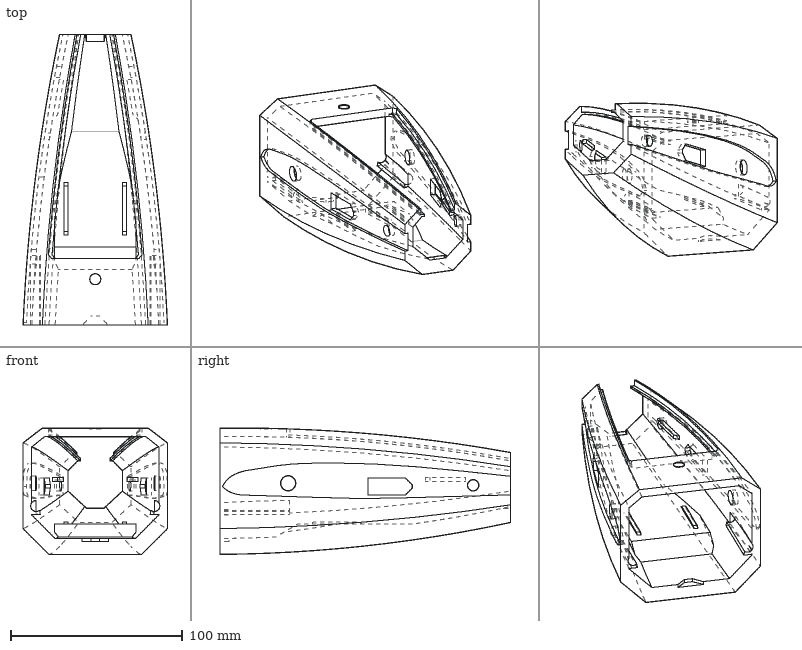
import cadquery as cq

LENGTH = 170.0
FRONT_WIDTH = 84.5
FRONT_HEIGHT = 74.0

SIDE_HALF = (FRONT_WIDTH / 2, 35.2, 20.9)
ROOF_HALF = (31.0, 24.3, 11.7)
FLOOR_HALF = (27.0, 20.5, 9.7)
ROOF_Z = (FRONT_HEIGHT, 70.9, 59.7)
SHOULDER_Z = (65.3, 61.5, 51.3)
BELLY_Z = (15.1, 19.0, 29.0)
FLOOR_Z = (0.0, 5.0, 18.7)

SIDE_WALL = 5.1
ROOF_WALL = 5.0
FLOOR_WALL = 9.4
ROOF_HALF_INSET = 1.5
FLOOR_HALF_INSET = 3.5
SHOULDER_DROP = 2.4
BELLY_RISE = 8.0

SLOT_START_Y = 39.1
SLOT_EDGE_INSET = 1.0
LEDGE_WIDTH = 2.2
LEDGE_DROP = 3.5
SLOT_CORNER = 2.0
SLOT_BOTTOM_Z = 40.8

PLATFORM_HALF = 23.8
PLATFORM_Z = 17.8
RAMP_BASE_Y = 32.3
RAMP_BASE_Z = 10.0
RAMP_TOP_Y = 45.5
PLATFORM_END_Y = 127.5

RAIL_X = 17.2
RAIL_WIDTH = 2.4
RAIL_HEIGHT = 1.0
RAIL_START_Y = 52.7
RAIL_END_Y = 83.3
RAIL_SLOPE = 2.0

TIP_HOLE_D, TIP_HOLE_Y, TIP_HOLE_Z = 6.5, 148.0, 40.5
FRONT_HOLE_D, FRONT_HOLE_Y, FRONT_HOLE_Z = 8.7, 40.0, 41.6
WINDOW_START_Y = 86.7
WINDOW_POINT_Y = 112.4
WINDOW_Z = 39.8
WINDOW_HEIGHT = 9.9
WINDOW_CHAMFER = 3.9

LEAF_DEPTH = 2.0
LEAF_NOSE = (1.5, 39.8)
LEAF_TIP_TOP_Z = 45.7
LEAF_TIP_BOTTOM_Z = 34.8
LEAF_UPPER = [(6.5, 45.5), (20.4, 50.0), (42.5, 52.9), (64.6, 53.5), (105.4, 52.0)]
LEAF_LOWER = [(5.0, 37.0), (20.4, 34.5), (68.0, 33.0), (127.5, 33.7)]

ROD_D = 6.5
ROD_X = 34.5
ROD_Z = 28.4
ROD_LENGTH = 40.8
LIP_TOP_X = 32.6
LIP_BOTTOM_X = 32.1
LIP_OUTER_X = 38.2
LIP_BOTTOM_Z = 23.5
LIP_TOP_Z = 26.2

RIB_START_Y = 120.4
RIB_END_Y = 143.6
RIB_BOTTOM_Z = 42.7
RIB_HEIGHT = 2.2
RIB_REACH = 2.5

ROOF_DIMPLE_D, ROOF_DIMPLE_Y, ROOF_DIMPLE_DEPTH = 6.5, 26.9, 0.5
MOUTH_NOTCH_HALF, MOUTH_NOTCH_LENGTH, MOUTH_NOTCH_DEPTH = 7.6, 5.3, 1.9
TIP_NOTCH_TOP_HALF, TIP_NOTCH_BOTTOM_HALF = 6.0, 5.1
TIP_NOTCH_LENGTH, TIP_NOTCH_DEPTH = 4.2, 1.0

OVERCUT = 1.7


def at(values, y):
    """Quadratic through the front, middle and tip values, evaluated at y."""
    front, middle, tip = values
    t = y / LENGTH
    return front * (1 - t) * (1 - 2 * t) + middle * 4 * t * (1 - t) + tip * t * (2 * t - 1)


def loft_along_y(outline, start_y, end_y):
    """Smooth loft through outline(y) at the start, middle and end of a stretch of Y."""
    wires = []
    for y in (start_y, (start_y + end_y) / 2, end_y):
        corners = [cq.Vector(x, y, z) for x, z in outline(y)]
        wires.append(cq.Wire.makePolygon(corners, close=True))
    return cq.Workplane(cq.Solid.makeLoft(wires))


def mirrored(half):
    """Close an outline given by its +X corners, listed bottom to top."""
    return half + [(-x, z) for x, z in reversed(half)]


def outer_outline(y, side_inset=0.0):
    return mirrored([
        (at(FLOOR_HALF, y), at(FLOOR_Z, y)),
        (at(SIDE_HALF, y) - side_inset, at(BELLY_Z, y)),
        (at(SIDE_HALF, y) - side_inset, at(SHOULDER_Z, y)),
        (at(ROOF_HALF, y), at(ROOF_Z, y)),
    ])


def cavity_outline(y):
    return mirrored([
        (at(FLOOR_HALF, y) - FLOOR_HALF_INSET, at(FLOOR_Z, y) + FLOOR_WALL),
        (at(SIDE_HALF, y) - SIDE_WALL, at(BELLY_Z, y) + BELLY_RISE),
        (at(SIDE_HALF, y) - SIDE_WALL, at(SHOULDER_Z, y) - SHOULDER_DROP),
        (at(ROOF_HALF, y) - ROOF_HALF_INSET, at(ROOF_Z, y) - ROOF_WALL),
    ])


def both_sides(feature):
    return feature.union(feature.mirror("YZ"))


def roof_slot():
    def ledge_outline(y):
        half = at(ROOF_HALF, y) - SLOT_EDGE_INSET
        roof = at(ROOF_Z, y)
        return mirrored([(half, roof - LEDGE_DROP), (half, roof + OVERCUT)])

    def opening_outline(y):
        half = at(ROOF_HALF, y) - SLOT_EDGE_INSET - LEDGE_WIDTH
        return mirrored([(half, SLOT_BOTTOM_Z), (half, at(ROOF_Z, y) + OVERCUT)])

    slot = None
    for outline in (ledge_outline, opening_outline):
        cut = loft_along_y(outline, SLOT_START_Y, LENGTH)
        cut = cut.faces("<Y").edges("<X or >X").chamfer(SLOT_CORNER)
        slot = cut if slot is None else slot.union(cut)
    return slot


def platform():
    return (
        cq.Workplane("YZ", origin=(-PLATFORM_HALF, 0, 0))
        .moveTo(RAMP_BASE_Y, RAMP_BASE_Z - OVERCUT)
        .lineTo(RAMP_BASE_Y, RAMP_BASE_Z)
        .lineTo(RAMP_TOP_Y, PLATFORM_Z)
        .lineTo(PLATFORM_END_Y, PLATFORM_Z)
        .lineTo(PLATFORM_END_Y, RAMP_BASE_Z - OVERCUT)
        .close()
        .extrude(2 * PLATFORM_HALF)
    )


def rails():
    top_z = PLATFORM_Z + RAIL_HEIGHT
    rail = (
        cq.Workplane("YZ", origin=(RAIL_X - RAIL_WIDTH / 2, 0, 0))
        .moveTo(RAIL_START_Y, PLATFORM_Z - OVERCUT)
        .lineTo(RAIL_START_Y, PLATFORM_Z)
        .lineTo(RAIL_START_Y + RAIL_SLOPE, top_z)
        .lineTo(RAIL_END_Y - RAIL_SLOPE, top_z)
        .lineTo(RAIL_END_Y, PLATFORM_Z)
        .lineTo(RAIL_END_Y, PLATFORM_Z - OVERCUT)
        .close()
        .extrude(RAIL_WIDTH)
    )
    return both_sides(rail)


def cross_hole(diameter, y, z):
    hole = cq.Workplane("YZ").center(y, z).circle(diameter / 2)
    return hole.extrude(FRONT_WIDTH / 2, both=True)


def side_openings():
    half_height = WINDOW_HEIGHT / 2
    point_half = half_height - WINDOW_CHAMFER
    shoulder_y = WINDOW_POINT_Y - WINDOW_CHAMFER
    window = cq.Workplane("YZ").polyline([
        (WINDOW_START_Y, WINDOW_Z - half_height),
        (shoulder_y, WINDOW_Z - half_height),
        (WINDOW_POINT_Y, WINDOW_Z - point_half),
        (WINDOW_POINT_Y, WINDOW_Z + point_half),
        (shoulder_y, WINDOW_Z + half_height),
        (WINDOW_START_Y, WINDOW_Z + half_height),
    ]).close().extrude(FRONT_WIDTH / 2, both=True)
    tip_hole = cross_hole(TIP_HOLE_D, TIP_HOLE_Y, TIP_HOLE_Z)
    front_hole = cross_hole(FRONT_HOLE_D, FRONT_HOLE_Y, FRONT_HOLE_Z)
    return window.union(tip_hole).union(front_hole)


def leaf_recesses():
    leaf = (
        cq.Workplane("YZ")
        .moveTo(*LEAF_NOSE)
        .spline(LEAF_UPPER + [(LENGTH, LEAF_TIP_TOP_Z)], includeCurrent=True)
        .lineTo(LENGTH, LEAF_TIP_BOTTOM_Z)
        .spline(LEAF_LOWER[::-1] + [LEAF_NOSE], includeCurrent=True)
        .close()
        .extrude(FRONT_WIDTH / 2, both=True)
    )
    core = loft_along_y(lambda y: outer_outline(y, LEAF_DEPTH), 0, LENGTH)
    return leaf.cut(core)


def rod_lips():
    lip = cq.Workplane("XZ").polyline([
        (LIP_BOTTOM_X, LIP_BOTTOM_Z),
        (LIP_OUTER_X, LIP_BOTTOM_Z),
        (LIP_OUTER_X, LIP_TOP_Z),
        (LIP_TOP_X, LIP_TOP_Z),
    ]).close().extrude(-ROD_LENGTH)
    return both_sides(lip)


def rod_grooves():
    groove = cq.Workplane("XZ").center(ROD_X, ROD_Z).circle(ROD_D / 2).extrude(-ROD_LENGTH)
    return both_sides(groove)


def side_ribs():
    def inner_x(y):
        return at(SIDE_HALF, y) - SIDE_WALL

    slope_end_y = RIB_START_Y + RIB_REACH
    rib = cq.Workplane("XY", origin=(0, 0, RIB_BOTTOM_Z)).polyline([
        (inner_x(RIB_START_Y) + OVERCUT, RIB_START_Y),
        (inner_x(RIB_START_Y), RIB_START_Y),
        (inner_x(slope_end_y) - RIB_REACH, slope_end_y),
        (inner_x(RIB_END_Y) - RIB_REACH, RIB_END_Y),
        (inner_x(RIB_END_Y) + OVERCUT, RIB_END_Y),
    ]).close().extrude(RIB_HEIGHT)
    return both_sides(rib)


def roof_dimple():
    depth_z = at(ROOF_Z, ROOF_DIMPLE_Y) - ROOF_DIMPLE_DEPTH
    plane = cq.Workplane("XY", origin=(0, ROOF_DIMPLE_Y, depth_z))
    return plane.circle(ROOF_DIMPLE_D / 2).extrude(OVERCUT)


def mouth_notch():
    """Floor recess at the mouth, narrowing at 45 degrees towards the inside."""
    back_half = MOUTH_NOTCH_HALF - MOUTH_NOTCH_LENGTH
    floor_z = at(FLOOR_Z, 0) + FLOOR_WALL
    return cq.Workplane("XY", origin=(0, 0, floor_z - MOUTH_NOTCH_DEPTH)).polyline([
        (-MOUTH_NOTCH_HALF, 0),
        (MOUTH_NOTCH_HALF, 0),
        (back_half, MOUTH_NOTCH_LENGTH),
        (-back_half, MOUTH_NOTCH_LENGTH),
    ]).close().extrude(MOUTH_NOTCH_DEPTH + OVERCUT)


def tip_notch():
    """Floor recess at the tip, with slanted sides."""
    floor_z = at(FLOOR_Z, LENGTH) + FLOOR_WALL
    return cq.Workplane("XZ", origin=(0, LENGTH, 0)).polyline(mirrored([
        (TIP_NOTCH_BOTTOM_HALF, floor_z - TIP_NOTCH_DEPTH),
        (TIP_NOTCH_TOP_HALF, floor_z),
    ])).close().extrude(TIP_NOTCH_LENGTH)


outer = loft_along_y(outer_outline, 0, LENGTH)
cavity = loft_along_y(cavity_outline, 0, LENGTH)
body = outer.cut(cavity)

inner_features = platform().union(rails()).union(rod_lips()).union(side_ribs())
body = body.union(inner_features.intersect(outer))

cuts = (
    roof_slot(),
    side_openings(),
    leaf_recesses(),
    rod_grooves(),
    roof_dimple(),
    mouth_notch(),
    tip_notch(),
)
for cut in cuts:
    body = body.cut(cut)

result = body